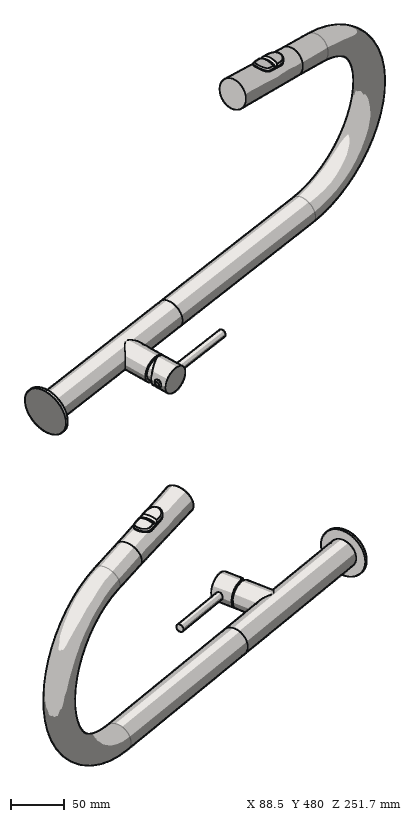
import cadquery as cq
import math

TOTAL_LENGTH = 480.0
TUBE_RADIUS = 15.0
FLANGE_RADIUS = 25.0
FLANGE_THICKNESS = 3.0
COLUMN_LENGTH = 179.5

BEND_RADIUS = 95.0
BEND_ANGLE = 169.2
BEND_START = TOTAL_LENGTH - BEND_RADIUS - TUBE_RADIUS
SPOUT_END_RUN = 36.5

HEAD_LENGTH = 84.5
HEAD_END_RADIUS = 16.0
BUTTON_LENGTH = 34.0
BUTTON_WIDTH = 18.5
BUTTON_CENTRE = 35.0
BUTTON_CROWN_RADIUS = 18.0
BUTTON_CHAMFER = 1.5
NOTCH_WIDTH = 6.0
NOTCH_DEPTH = 1.5

BRANCH_Y = 112.0
BRANCH_RADIUS = 14.5
BRANCH_END = 39.0
NECK_RADIUS = 12.0
NECK_LENGTH = 8.0

KNOB_START = 40.5
KNOB_END = 63.5
RELIEF_ANGLE = 22.0
LEVER_X = 54.5
LEVER_RADIUS = 4.1
LEVER_TIP_Y = 190.0
LEVER_STUB = 1.5
STUB_CHAMFER = 1.5


def rod_along_x(radius, start, end):
    """Cylinder on the branch axis, between two X positions."""
    return cq.Workplane("YZ", origin=(start, BRANCH_Y, 0)).circle(radius).extrude(end - start)


def rod_along_y(radius, start, end, x=0.0):
    """Cylinder parallel to Y, between two Y positions."""
    return cq.Workplane("XZ", origin=(x, start, 0)).circle(radius).extrude(start - end)


def neck():
    """Round neck that carries the knob."""
    return rod_along_x(NECK_RADIUS, BRANCH_END, BRANCH_END + NECK_LENGTH)


def make_base():
    """Flange, column and valve branch."""
    flange = rod_along_y(FLANGE_RADIUS, 0, FLANGE_THICKNESS)
    column = rod_along_y(TUBE_RADIUS, 0, COLUMN_LENGTH)
    branch = rod_along_x(BRANCH_RADIUS, 0, BRANCH_END)
    return flange.union(column).union(branch).union(neck())


def bend_point(angle):
    """Y and Z on the bend's centre line, after turning by an angle in degrees."""
    turn = math.radians(angle)
    return BEND_START + BEND_RADIUS * math.sin(turn), BEND_RADIUS * (1 - math.cos(turn))


def spout_axis_point(distance):
    """Y and Z at a distance past the end of the bend."""
    y, z = bend_point(BEND_ANGLE)
    turn = math.radians(BEND_ANGLE)
    return y + distance * math.cos(turn), z + distance * math.sin(turn)


def make_spout():
    """Tube that runs straight, bends back over itself and ends in a short straight run."""
    path = (
        cq.Workplane("YZ")
        .moveTo(COLUMN_LENGTH, 0)
        .lineTo(BEND_START, 0)
        .threePointArc(bend_point(BEND_ANGLE / 2), bend_point(BEND_ANGLE))
        .lineTo(*spout_axis_point(SPOUT_END_RUN))
    )
    return cq.Workplane("XZ", origin=(0, COLUMN_LENGTH, 0)).circle(TUBE_RADIUS).sweep(path)


def make_button():
    """Rocker button along +X, its crown curved about the X axis and split by a V notch."""
    crown = (
        cq.Workplane("YZ")
        .circle(BUTTON_CROWN_RADIUS)
        .extrude(BUTTON_LENGTH, both=True)
    )
    button = (
        cq.Workplane("XY")
        .slot2D(BUTTON_LENGTH, BUTTON_WIDTH)
        .extrude(BUTTON_CROWN_RADIUS)
        .intersect(crown)
        .faces(">Z")
        .chamfer(BUTTON_CHAMFER)
    )
    notch = (
        cq.Workplane("XZ")
        .moveTo(-NOTCH_WIDTH / 2, BUTTON_CROWN_RADIUS)
        .lineTo(0, BUTTON_CROWN_RADIUS - NOTCH_DEPTH)
        .lineTo(NOTCH_WIDTH / 2, BUTTON_CROWN_RADIUS)
        .close()
        .revolve(360, (0, 0, 0), (1, 0, 0))
    )
    return button.cut(notch)


def make_spray_head():
    """Spray head, modelled along +X from the origin and then moved onto the spout's end."""
    cone = (
        cq.Workplane("YZ")
        .circle(TUBE_RADIUS)
        .workplane(offset=HEAD_LENGTH)
        .circle(HEAD_END_RADIUS)
        .loft(ruled=True)
    )
    head = cone.union(make_button().translate((BUTTON_CENTRE, 0, 0)))
    rise = 180 - BEND_ANGLE
    y, z = spout_axis_point(SPOUT_END_RUN)
    return (
        head.rotate((0, 0, 0), (0, 0, 1), -90)
        .rotate((0, 0, 0), (1, 0, 0), -rise)
        .translate((0, y, z))
    )


def make_handle():
    """Knob with a relief on its -Y side for tilting, and the lever that passes through it."""
    knob = rod_along_x(BRANCH_RADIUS, KNOB_START, KNOB_END)
    relief_depth = BRANCH_RADIUS * math.tan(math.radians(RELIEF_ANGLE))
    relief = (
        cq.Workplane("XY", origin=(KNOB_START, BRANCH_Y, 0))
        .lineTo(0, -BRANCH_RADIUS)
        .lineTo(relief_depth, -BRANCH_RADIUS)
        .close()
        .extrude(BRANCH_RADIUS, both=True)
    )
    stub_end = BRANCH_Y - BRANCH_RADIUS - LEVER_STUB
    lever = rod_along_y(LEVER_RADIUS, stub_end, LEVER_TIP_Y, LEVER_X).faces("<Y").chamfer(STUB_CHAMFER)
    return knob.cut(relief).cut(neck()).union(lever)


base = make_base()
spout = make_spout()
spray_head = make_spray_head()
handle = make_handle()

result = cq.Compound.makeCompound([base.val(), spout.val(), spray_head.val(), handle.val()])